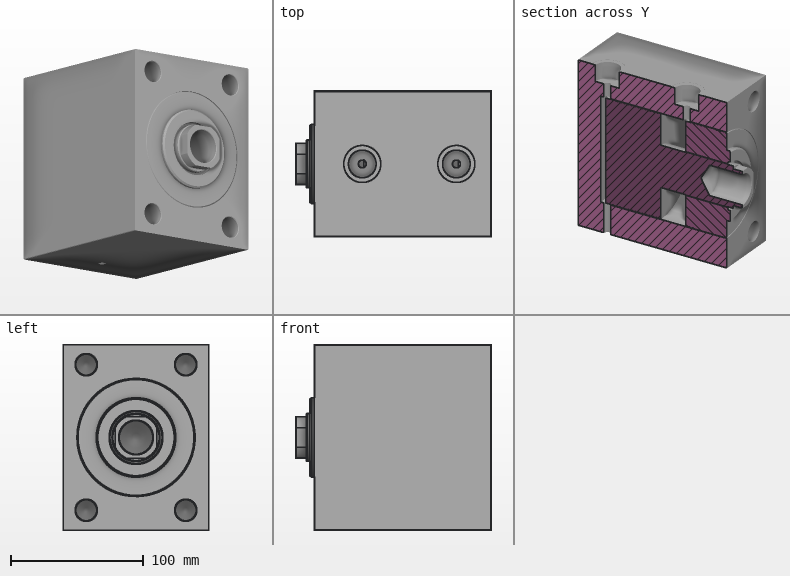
import cadquery as cq
import math


overall_length = 147.0
block_length = 133.0
block_width = 110.0
block_height = 140.0
block_edge_chamfer = 0.5

bore_radius = 44.5
bore_depth = 112.5
gland_length = 37.2
gland_rim_chamfer = 0.9
boss_radius = 30.0
boss_height = 3.4
boss_chamfer = 1.2
seal_recess_radius = 19.7
seal_recess_chamfer = 0.6
seal_recess_depth = 2.2

rod_radius = 18.1
rod_chamfer = 0.6
piston_front = 58.8
piston_rear = 108.3
shoulder_reach = 6.0
rod_reach = overall_length - block_length
rod_end_radius = 17.3
flat_distance = 31.3
rod_hole_radius = 12.6
rod_hole_depth = 29.4

mount_spacing_y = 75.0
mount_spacing_z = 109.7
mount_hole_radius = 8.0
mount_hole_depth = 25.0

hole_rim_chamfer = 0.5
drill_point_angle = 118.0

port_positions = (36.0, 106.9)
port_face_radius = 14.0
port_face_depth = 0.1
port_radius = 10.5
port_depth = 14.0
oilway_radius = 3.0


def x_cylinder(radius, x_start, x_end):
    return cq.Workplane("YZ", origin=(x_start, 0, 0)).circle(radius).extrude(x_end - x_start)


def drilled_hole(radius, x_start, depth, y=0, z=0):
    """Cutter along +X: chamfered mouth, straight wall of the given depth, conical drill point."""
    point_depth = radius / math.tan(math.radians(drill_point_angle / 2))
    profile = [
        (0, 0),
        (0, radius + hole_rim_chamfer),
        (hole_rim_chamfer, radius),
        (depth, radius),
        (depth + point_depth, 0),
    ]
    cutter = cq.Workplane("XY").polyline(profile).close().revolve(360, (0, 0, 0), (1, 0, 0))
    return cutter.translate((x_start, y, z))


def z_cylinder(radius, x, z_bottom, z_top):
    return cq.Workplane("XY", origin=(x, 0, z_bottom)).circle(radius).extrude(z_top - z_bottom)


def make_housing():
    top = block_height / 2
    housing = (
        cq.Workplane("YZ")
        .rect(block_width, block_height)
        .extrude(block_length)
        .edges("|X")
        .chamfer(block_edge_chamfer)
        .cut(x_cylinder(bore_radius, 0, bore_depth))
    )
    for y in (-mount_spacing_y / 2, mount_spacing_y / 2):
        for z in (-mount_spacing_z / 2, mount_spacing_z / 2):
            housing = housing.cut(drilled_hole(mount_hole_radius, 0, mount_hole_depth, y, z))
    for x in port_positions:
        housing = housing.cut(z_cylinder(port_face_radius, x, top - port_face_depth, top))
        housing = housing.cut(z_cylinder(port_radius, x, top - port_depth, top))
        housing = housing.cut(z_cylinder(oilway_radius, x, 0, top))
    return housing.cut(z_cylinder(oilway_radius, port_positions[-1], -top, 0))


def make_gland():
    body = x_cylinder(bore_radius, 0, gland_length).faces("<X").chamfer(gland_rim_chamfer)
    boss = x_cylinder(boss_radius, -boss_height, 0).faces("<X").chamfer(boss_chamfer)
    recess_floor = seal_recess_depth - boss_height
    recess = (
        x_cylinder(seal_recess_radius + seal_recess_chamfer, -boss_height, recess_floor)
        .faces(">X")
        .chamfer(seal_recess_chamfer)
    )
    rod_passage = x_cylinder(rod_radius, -boss_height, gland_length)
    return body.union(boss).cut(rod_passage).cut(recess)


def make_piston_rod():
    rod = x_cylinder(rod_radius, -shoulder_reach, piston_front).faces("<X").chamfer(rod_chamfer)
    piston = x_cylinder(bore_radius, piston_front, piston_rear)
    end_length = rod_reach - shoulder_reach
    wrench_square = (
        cq.Workplane("YZ", origin=(-rod_reach, 0, 0))
        .rect(flat_distance, flat_distance)
        .extrude(end_length)
    )
    rod_end = x_cylinder(rod_end_radius, -rod_reach, -shoulder_reach).intersect(wrench_square)
    rod_hole = drilled_hole(rod_hole_radius, -rod_reach, rod_hole_depth)
    return rod.union(piston).union(rod_end).cut(rod_hole)


housing = make_housing()
gland = make_gland()
piston_rod = make_piston_rod()

result = cq.Compound.makeCompound([housing.val(), gland.val(), piston_rod.val()])